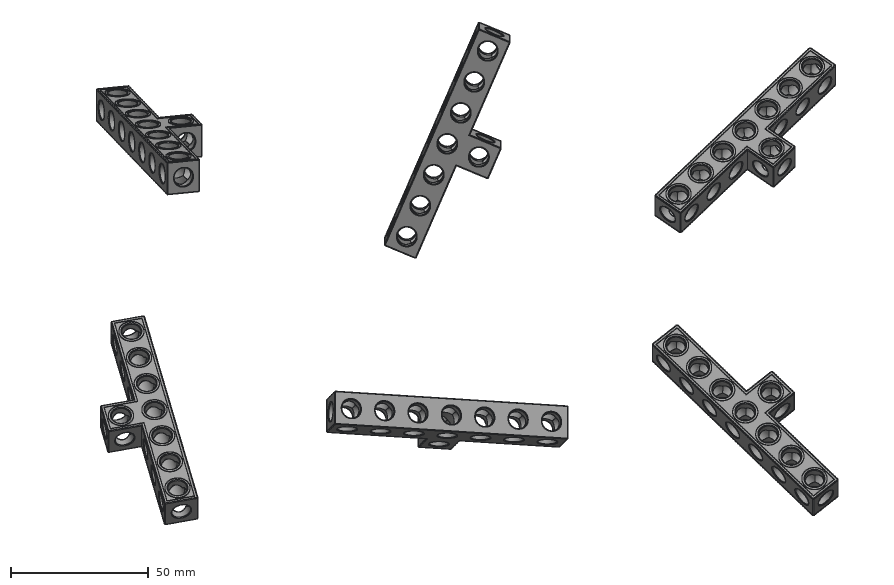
import cadquery as cq

length = 87.5
row_count = 7
pitch = length / row_count
half_cell = pitch / 2
branch_column = 3

edge_chamfer = 0.3
hole_diameter = 7.0
hole_mouth_chamfer = 0.3

rim_width = 1.1
collar_diameter = 9.2
recess_depth = 0.2

row_x = [(column - (row_count - 1) / 2) * pitch for column in range(row_count)]
row_y = -half_cell
branch_x = row_x[branch_column]
branch_y = half_cell
mid_z = half_cell
cell_centres = [(x, row_y) for x in row_x] + [(branch_x, branch_y)]


def tee_prism(inset, bottom, height):
    """T-shaped prism whose outline lies `inset` inside the cell edges."""
    bar = (
        cq.Workplane("XY", origin=(0, row_y, bottom))
        .rect(length - 2 * inset, pitch - 2 * inset)
        .extrude(height)
    )
    branch = (
        cq.Workplane("XY", origin=(branch_x, 0, bottom))
        .rect(pitch - 2 * inset, 2 * (pitch - inset))
        .extrude(height)
    )
    return bar.union(branch).clean()


def through_hole(start, direction, depth):
    """Cutter for a round hole that widens in a chamfer at both mouths."""
    bore_radius = hole_diameter / 2
    mouth_radius = bore_radius + hole_mouth_chamfer
    start = cq.Vector(*start)
    direction = cq.Vector(*direction)
    end = start + direction * depth
    bore = cq.Solid.makeCylinder(bore_radius, depth, start, direction)
    first_mouth = cq.Solid.makeCone(mouth_radius, bore_radius, hole_mouth_chamfer, start, direction)
    last_mouth = cq.Solid.makeCone(mouth_radius, bore_radius, hole_mouth_chamfer, end, direction * -1)
    return cq.Workplane(bore.fuse(first_mouth, last_mouth))


body = tee_prism(0, 0, pitch)
corner_zone = cq.selectors.BoxSelector(
    (branch_x - pitch, -half_cell, 0), (branch_x + pitch, half_cell, pitch)
)
inner_corners = cq.selectors.AndSelector(cq.selectors.StringSyntaxSelector("|Z"), corner_zone)
body = body.edges(cq.selectors.InverseSelector(inner_corners)).chamfer(edge_chamfer)

recess_floor = pitch - recess_depth
collars = (
    cq.Workplane("XY", origin=(0, 0, recess_floor))
    .pushPoints(cell_centres)
    .circle(collar_diameter / 2)
    .extrude(recess_depth)
)
body = body.cut(tee_prism(rim_width, recess_floor, recess_depth).cut(collars))

for x, y in cell_centres:
    body = body.cut(through_hole((x, y, 0), (0, 0, 1), pitch))

for x in row_x:
    depth = 2 * pitch if x == branch_x else pitch
    body = body.cut(through_hole((x, -pitch, mid_z), (0, 1, 0), depth))

body = body.cut(through_hole((-length / 2, row_y, mid_z), (1, 0, 0), length))
body = body.cut(through_hole((branch_x - half_cell, branch_y, mid_z), (1, 0, 0), pitch))

result = body